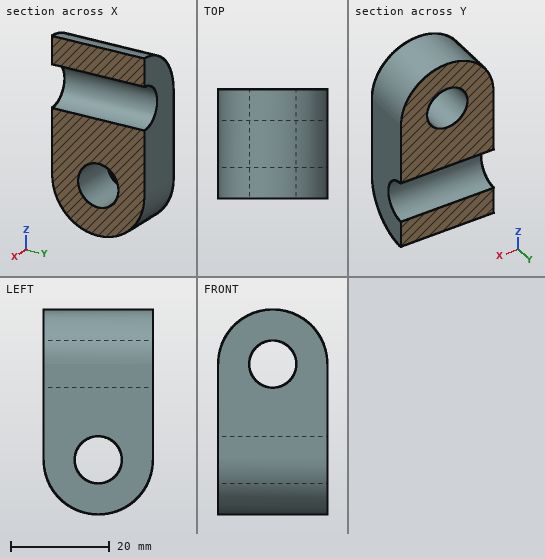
import cadquery as cq

width = 22.225
height = 41.64
pin_diameter = 9.53

end_radius = width / 2
lower_axis_z = end_radius
upper_axis_z = height - end_radius

back_plane = cq.Workplane("XZ", origin=(0, width / 2, 0))
left_plane = cq.Workplane("YZ", origin=(-width / 2, 0, 0))


def rounded_bar(plane, axis_z, round_tip_z, square_end_z):
    """Bar across the full width with one full-round end and one square end."""
    return (
        plane.moveTo(-end_radius, square_end_z)
        .lineTo(-end_radius, axis_z)
        .threePointArc((0, round_tip_z), (end_radius, axis_z))
        .lineTo(end_radius, square_end_z)
        .close()
        .extrude(width)
    )


def pin_hole(plane, axis_z):
    """Cutter for a pin hole through the full width."""
    return plane.center(0, axis_z).circle(pin_diameter / 2).extrude(width)


top_rounded = rounded_bar(back_plane, upper_axis_z, height, 0)
bottom_rounded = rounded_bar(left_plane, lower_axis_z, 0, height)
body = top_rounded.intersect(bottom_rounded)

upper_hole = pin_hole(back_plane, upper_axis_z)
lower_hole = pin_hole(left_plane, lower_axis_z)

result = body.cut(upper_hole).cut(lower_hole)